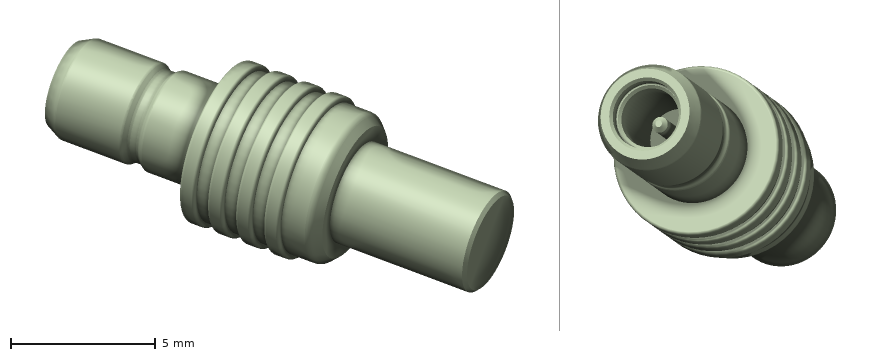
import cadquery as cq
import math

TOTAL_LENGTH = 16.6

BARREL_RADIUS = 1.875
NOSE_FACE_RADIUS = 1.61
NOSE_TAPER_LENGTH = 0.53
NOSE_TAPER_FILLET = 0.12
REAR_EDGE_CHAMFER = 0.13

GROOVE_CENTER = 3.49
GROOVE_TOP_WIDTH = 0.8
GROOVE_FLOOR_WIDTH = 0.34
GROOVE_DEPTH = 0.17
GROOVE_TOP_FILLET = 0.14
GROOVE_FLOOR_FILLET = 0.15

COLLAR_START = 5.98
COLLAR_END = 11.3
COLLAR_RADIUS = 2.8
COLLAR_CHAMFER_LENGTH = 0.26
COLLAR_CHAMFER_ANGLE = 45
COLLAR_BLEND_RADIUS = 0.34
RING_RADIUS = 3.0
RING_WIDTH = 0.6
RING_PITCH = 1.1
RING_COUNT = 4
RING_FILLET = 0.1

SOCKET_RADIUS = 1.2
SOCKET_ENTRY_CHAMFER = 0.1
LEDGE_DEPTH = 0.5
LEDGE_INNER_RADIUS = 1.14
BORE_RADIUS = 1.04
BORE_LEAD_IN = LEDGE_INNER_RADIUS - BORE_RADIUS
BORE_DEPTH = 4.0

PIN_RADIUS = 0.28
PIN_TIP_RADIUS = 0.12
PIN_TIP_START = 1.6
PIN_TAPER_LENGTH = PIN_RADIUS - PIN_TIP_RADIUS


def revolve_profile(profile):
    """Turn a closed (x, radius) profile about the X axis."""
    return profile.close().revolve(360, (0, 0, 0), (1, 0, 0))


def revolve_points(points):
    return revolve_profile(cq.Workplane("XY").polyline(points))


def cylinder_along_x(start, end, radius):
    return cq.Workplane("YZ", origin=(start, 0, 0)).circle(radius).extrude(end - start)


def circles_at(x, radius):
    """Select the circular edges of one radius lying at one X position."""
    tolerance = 0.01
    low = (x - tolerance, -radius - tolerance, -radius - tolerance)
    high = (x + tolerance, radius + tolerance, radius + tolerance)
    return cq.selectors.BoxSelector(low, high, boundingbox=True)


def make_barrel():
    """Shaft with a tapered nose, a snap groove and a chamfered rear edge."""
    groove_radius = BARREL_RADIUS - GROOVE_DEPTH
    groove_start = GROOVE_CENTER - GROOVE_TOP_WIDTH / 2
    groove_end = GROOVE_CENTER + GROOVE_TOP_WIDTH / 2
    floor_start = GROOVE_CENTER - GROOVE_FLOOR_WIDTH / 2
    floor_end = GROOVE_CENTER + GROOVE_FLOOR_WIDTH / 2
    barrel = revolve_points([
        (0, 0),
        (0, NOSE_FACE_RADIUS),
        (NOSE_TAPER_LENGTH, BARREL_RADIUS),
        (groove_start, BARREL_RADIUS),
        (floor_start, groove_radius),
        (floor_end, groove_radius),
        (groove_end, BARREL_RADIUS),
        (TOTAL_LENGTH - REAR_EDGE_CHAMFER, BARREL_RADIUS),
        (TOTAL_LENGTH, BARREL_RADIUS - REAR_EDGE_CHAMFER),
        (TOTAL_LENGTH, 0),
    ])
    barrel = barrel.edges(circles_at(NOSE_TAPER_LENGTH, BARREL_RADIUS)).fillet(NOSE_TAPER_FILLET)
    for x in (groove_start, groove_end):
        barrel = barrel.edges(circles_at(x, BARREL_RADIUS)).fillet(GROOVE_TOP_FILLET)
    for x in (floor_start, floor_end):
        barrel = barrel.edges(circles_at(x, groove_radius)).fillet(GROOVE_FLOOR_FILLET)
    return barrel


def make_collar():
    """Collar whose rear edge is an arc running tangentially into a chamfer."""
    slope = math.radians(COLLAR_CHAMFER_ANGLE)
    chamfer_start = COLLAR_END - COLLAR_CHAMFER_LENGTH
    blend_start = chamfer_start - COLLAR_BLEND_RADIUS * math.sin(slope)
    blend_center_radius = COLLAR_RADIUS - COLLAR_BLEND_RADIUS
    blend_middle = (
        blend_start + COLLAR_BLEND_RADIUS * math.sin(slope / 2),
        blend_center_radius + COLLAR_BLEND_RADIUS * math.cos(slope / 2),
    )
    chamfer_top_radius = blend_center_radius + COLLAR_BLEND_RADIUS * math.cos(slope)
    profile = (
        cq.Workplane("XY")
        .moveTo(COLLAR_START, 0)
        .lineTo(COLLAR_START, COLLAR_RADIUS)
        .lineTo(blend_start, COLLAR_RADIUS)
        .threePointArc(blend_middle, (chamfer_start, chamfer_top_radius))
        .lineTo(COLLAR_END, chamfer_top_radius - COLLAR_CHAMFER_LENGTH * math.tan(slope))
        .lineTo(COLLAR_END, 0)
    )
    return revolve_profile(profile)


def make_ring(index):
    """One ring rib around the collar with both outer edges rounded."""
    start = COLLAR_START + index * RING_PITCH
    return cylinder_along_x(start, start + RING_WIDTH, RING_RADIUS).edges().fillet(RING_FILLET)


def make_socket():
    """Stepped cavity cut into the nose, chamfered at its mouth and at the inner ledge."""
    return revolve_points([
        (0, 0),
        (0, SOCKET_RADIUS + SOCKET_ENTRY_CHAMFER),
        (SOCKET_ENTRY_CHAMFER, SOCKET_RADIUS),
        (LEDGE_DEPTH, SOCKET_RADIUS),
        (LEDGE_DEPTH, LEDGE_INNER_RADIUS),
        (LEDGE_DEPTH + BORE_LEAD_IN, BORE_RADIUS),
        (BORE_DEPTH, BORE_RADIUS),
        (BORE_DEPTH, 0),
    ])


def make_pin():
    """Contact pin with a conical tip, rooted in the bore floor."""
    return revolve_points([
        (PIN_TIP_START, 0),
        (PIN_TIP_START, PIN_TIP_RADIUS),
        (PIN_TIP_START + PIN_TAPER_LENGTH, PIN_RADIUS),
        (BORE_DEPTH, PIN_RADIUS),
        (BORE_DEPTH, 0),
    ])


body = make_barrel().union(make_collar())
for ring_index in range(RING_COUNT):
    body = body.union(make_ring(ring_index))

result = body.cut(make_socket()).union(make_pin())